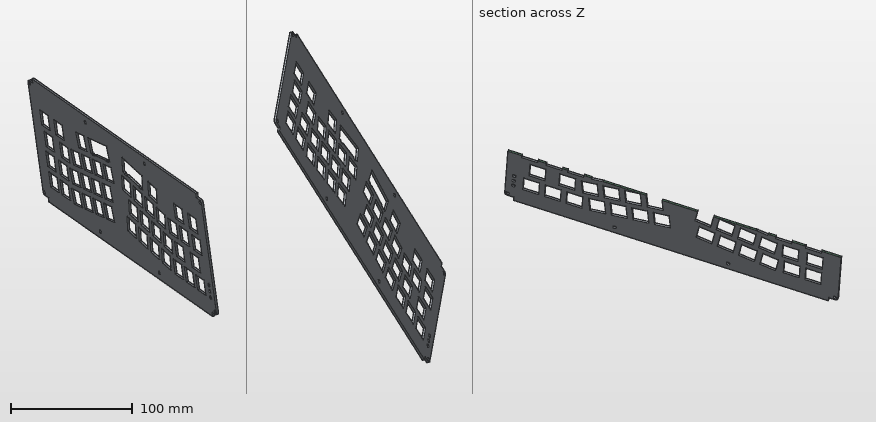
import cadquery as cq

PLATE_WIDTH = 293.75
PLATE_HEIGHT = 114.25
THICKNESS = 2.0
TILT = 8.0

HOLE_DIAMETER = 3.0
EAR_RADIUS = 2.5
EAR_HOLE_X = PLATE_WIDTH / 2 - EAR_RADIUS
INNER_HOLE_X = 50.0
HOLE_Z = 50.75
BODY_WIDTH = 277.4

PITCH = 19.05
STRAIGHT_ROW_PITCH = 19.08
KEY_SIZE = 14.0
BOTTOM_ROW_Z = -33.37

LEFT_BLOCK = [
    (-124.15, (0, 1)),
    (-124.40, (0, 1.125)),
    (-122.60, (0, 1.375)),
    (-125.15, (0, 1.25)),
]
RIGHT_BLOCK = [
    (86.40, (0, 1, 2)),
    (93.75, (0, 1.375)),
    (86.95, (0, 1, 2.125)),
    (101.35, (0, 1.25)),
]

SLANT = 8.0
LEFT_GRID_START = (-89.05, -20.95)
LEFT_GRID_ROWS = [(0, 1, 2, 3), (0.25, 1.25, 2.25, 3.25), (0.75, 1.75, 2.75, 3.75), (1.625,)]
LEFT_SPACEBAR_STEP = 3.25
RIGHT_GRID_START = (13.05, -22.26)
RIGHT_GRID_ROWS = [(0, 1, 2, 3), (0.25, 1.25, 2.25, 3.25), (-0.25, 0.75, 1.75, 2.75), (2.125,)]
RIGHT_SPACEBAR_STEP = 0.375
SPACEBAR_ROW = 3

SPACEBAR_WIDTH = 33.0
STABILIZER_SPACING = 23.88
STABILIZER_NOTCH_WIDTH = 3.6
STABILIZER_NOTCH_DEPTH = 0.97

LIGHT_DIAMETER = 3.0
LIGHT_X = 139.8
LIGHT_SPACING = 5.8


def plate_blank():
    ears = (
        cq.Workplane("XZ")
        .rect(PLATE_WIDTH, 2 * (HOLE_Z + EAR_RADIUS))
        .extrude(THICKNESS / 2, both=True)
        .edges("|Y")
        .fillet(EAR_RADIUS)
    )
    body = cq.Workplane("XZ").rect(BODY_WIDTH, PLATE_HEIGHT).extrude(THICKNESS / 2, both=True)
    return body.union(ears)


def round_cutters(points, diameter):
    return cq.Workplane("XZ").pushPoints(points).circle(diameter / 2).extrude(THICKNESS, both=True)


def rectangle_cutters(points, width, height):
    return cq.Workplane("XZ").pushPoints(points).rect(width, height).extrude(THICKNESS, both=True)


def straight_block_cutters(rows):
    points = [
        (first_x + step * PITCH, BOTTOM_ROW_Z + row * STRAIGHT_ROW_PITCH)
        for row, (first_x, steps) in enumerate(rows)
        for step in steps
    ]
    return rectangle_cutters(points, KEY_SIZE, KEY_SIZE)


def spacebar_cutter(x, z):
    notch_top = z
    notch_bottom = z - KEY_SIZE / 2 - STABILIZER_NOTCH_DEPTH
    notch_z = (notch_top + notch_bottom) / 2
    notch_points = [(x + side * STABILIZER_SPACING / 2, notch_z) for side in (-1, 1)]
    notches = rectangle_cutters(notch_points, STABILIZER_NOTCH_WIDTH, notch_top - notch_bottom)
    return rectangle_cutters([(x, z)], SPACEBAR_WIDTH, KEY_SIZE).union(notches)


def slanted_block_cutters(start, rows, spacebar_step, rise_angle):
    """rise_angle is the slope of the rows toward +X, in degrees."""
    start_x, start_z = start
    points = [
        (start_x + step * PITCH, start_z + row * PITCH)
        for row, steps in enumerate(rows)
        for step in steps
    ]
    keys = rectangle_cutters(points, KEY_SIZE, KEY_SIZE)
    spacebar = spacebar_cutter(start_x + spacebar_step * PITCH, start_z + SPACEBAR_ROW * PITCH)
    return keys.union(spacebar).rotate((0, 0, 0), (0, 1, 0), -rise_angle)


mounting_points = [
    (side_x * x, side_z * HOLE_Z)
    for x in (INNER_HOLE_X, EAR_HOLE_X)
    for side_x in (-1, 1)
    for side_z in (-1, 1)
]
light_points = [(LIGHT_X, BOTTOM_ROW_Z + step * LIGHT_SPACING) for step in (-1, 0, 1)]

plate = (
    plate_blank()
    .cut(round_cutters(mounting_points, HOLE_DIAMETER))
    .cut(round_cutters(light_points, LIGHT_DIAMETER))
    .cut(straight_block_cutters(LEFT_BLOCK))
    .cut(straight_block_cutters(RIGHT_BLOCK))
    .cut(slanted_block_cutters(LEFT_GRID_START, LEFT_GRID_ROWS, LEFT_SPACEBAR_STEP, SLANT))
    .cut(slanted_block_cutters(RIGHT_GRID_START, RIGHT_GRID_ROWS, RIGHT_SPACEBAR_STEP, -SLANT))
)

result = plate.rotate((0, 0, 0), (1, 0, 0), TILT)